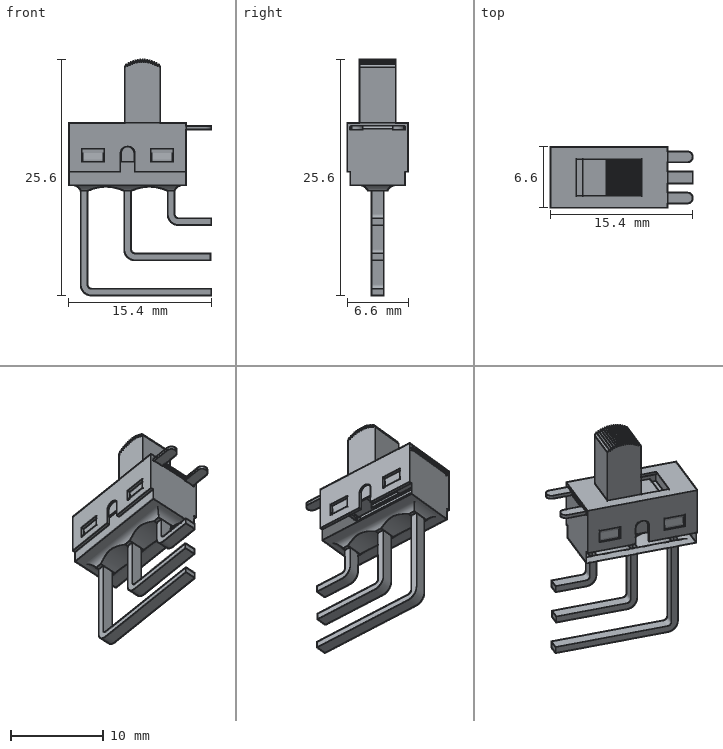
import cadquery as cq
import math


BODY_LENGTH = 12.7
COVER_WIDTH = 6.6
COVER_TOP = 6.75
COVER_BOTTOM = 1.45
SHEET = 0.33
BODY_WIDTH = COVER_WIDTH - 2 * SHEET
BODY_TOP = COVER_TOP - SHEET

EDGE_GAP_WIDTH = 0.18
EDGE_GAP_HEIGHT = 0.4
END_CHAMFER_HEIGHT = 0.3
END_CHAMFER_LENGTH = 0.18

OPENING_LENGTH = 7.1
OPENING_WIDTH = 3.96
POCKET_WIDTH = 4.12
OPENING_DEPTH = 0.8
END_PIT_LENGTH = 0.7
END_PIT_DEPTH = 0.38
SLIDER_LENGTH = 3.9
SLIDER_WIDTH = 3.95
SLIDER_TOP = 13.63
SHOULDER_DROP = 0.87
CROWN_RADIUS = 3.17
RIDGE_COUNT = 15
RIDGE_PITCH = 0.25
RIDGE_DEPTH = 0.3

WINDOW_LENGTH = 2.43
WINDOW_BOTTOM = 2.53
WINDOW_TOP = 3.96
WINDOW_OFFSET = 3.73
WEDGE_LENGTH = 2.23
WEDGE_TOP = 3.48
WEDGE_LIP = 2.8
WEDGE_REACH = 0.15

NOTCH_WIDTH = 1.55
NOTCH_TOP = 4.2
BOSS_WIDTH = 1.4
BOSS_REACH = 0.15

LEAD_PITCH = 4.7
LEAD_THICKNESS = 0.77
LEAD_WIDTH = 1.33
TOTAL_LENGTH = 15.4
LEAD_END = TOTAL_LENGTH - BODY_LENGTH / 2
MIDDLE_LEAD_SHORTFALL = 0.08
MIDDLE_LEAD_END = LEAD_END - MIDDLE_LEAD_SHORTFALL
TOTAL_HEIGHT = 25.58
LOWEST_LEAD = SLIDER_TOP - TOTAL_HEIGHT
LEAD_STEP = 3.8
BEND_OUTER_RADIUS = 1.2
TAB_WIDTH = 1.2
TAB_THICKNESS = 0.4
TAB_TOP = 6.42
TAB_OFFSET = 2.23
TAB_ROOT = 0.5

SEAL_DEPTH = 0.61
SEAL_LENGTH = 11.72
SEAL_WIDTH = 3.79
SEAL_TIP_WIDTH = 2.1
SEAL_SAG = 0.18
SEAL_FLARE = 0.1


def block(x_size, y_size, bottom, top, x=0, y=0):
    """Box centred on (x, y) between two heights."""
    plate = cq.Workplane("XY", origin=(x, y, bottom))
    return plate.rect(x_size, y_size).extrude(top - bottom)


def both_sides(solid):
    """The solid together with its mirror image across the XZ plane."""
    return solid.union(solid.mirror("XZ"))


def arch(width, bottom, top, y_front, y_back):
    """Round-topped upright plate between two Y positions."""
    radius = width / 2
    outline = (
        cq.Workplane("XZ", origin=(0, y_back, 0))
        .moveTo(-radius, bottom)
        .lineTo(-radius, top - radius)
        .threePointArc((0, top), (radius, top - radius))
        .lineTo(radius, bottom)
        .close()
    )
    return outline.extrude(y_back - y_front)


def make_housing():
    """Body with the cover, its latch windows, notches and clearances."""
    body = block(BODY_LENGTH, BODY_WIDTH, 0, COVER_TOP)
    cover = block(BODY_LENGTH, COVER_WIDTH, COVER_BOTTOM, COVER_TOP)
    housing = body.union(cover)
    cover_front = -COVER_WIDTH / 2
    body_front = -BODY_WIDTH / 2

    notch = arch(NOTCH_WIDTH, COVER_BOTTOM, NOTCH_TOP, cover_front, body_front)
    boss = arch(BOSS_WIDTH, WINDOW_BOTTOM, NOTCH_TOP, body_front - BOSS_REACH, body_front)
    housing = housing.cut(both_sides(notch)).union(both_sides(boss))

    for x in (-WINDOW_OFFSET, WINDOW_OFFSET):
        window = block(WINDOW_LENGTH, SHEET, WINDOW_BOTTOM, WINDOW_TOP, x, cover_front + SHEET / 2)
        wedge = (
            cq.Workplane("YZ", origin=(x, 0, 0))
            .moveTo(body_front, WEDGE_TOP)
            .lineTo(body_front - WEDGE_REACH, WEDGE_LIP)
            .lineTo(body_front - WEDGE_REACH, WINDOW_BOTTOM)
            .lineTo(body_front, WINDOW_BOTTOM)
            .close()
            .extrude(WEDGE_LENGTH / 2, both=True)
        )
        housing = housing.cut(both_sides(window)).union(both_sides(wedge))

    return housing.cut(edge_gaps()).cut(end_grooves())


def edge_gaps():
    """Lengthwise gaps under the two folds of the cover, rounded outside."""
    outside = -BODY_WIDTH / 2
    inside = outside + EDGE_GAP_WIDTH
    gap = (
        cq.Workplane("YZ")
        .moveTo(outside, BODY_TOP - EDGE_GAP_HEIGHT)
        .lineTo(outside, BODY_TOP - EDGE_GAP_WIDTH)
        .radiusArc((inside, BODY_TOP), EDGE_GAP_WIDTH)
        .lineTo(inside, BODY_TOP - EDGE_GAP_HEIGHT)
        .close()
        .extrude(BODY_LENGTH / 2, both=True)
    )
    return both_sides(gap)


def end_grooves():
    """Chamfered top edges of the body at both ends, below the cover."""
    end = BODY_LENGTH / 2
    groove = (
        cq.Workplane("XZ")
        .moveTo(-end, BODY_TOP)
        .lineTo(-end, BODY_TOP - END_CHAMFER_HEIGHT)
        .lineTo(-end + END_CHAMFER_LENGTH, BODY_TOP)
        .close()
        .extrude(BODY_WIDTH / 2 - EDGE_GAP_WIDTH, both=True)
    )
    return groove.union(groove.mirror("YZ"))


def make_opening():
    """Slider opening, wider below the sheet, with a deeper pit at its free end."""
    floor = COVER_TOP - OPENING_DEPTH
    opening = block(OPENING_LENGTH, OPENING_WIDTH, floor, COVER_TOP)
    pocket = block(OPENING_LENGTH, POCKET_WIDTH, floor, BODY_TOP)
    pit_x = (END_PIT_LENGTH - OPENING_LENGTH) / 2
    pit = block(END_PIT_LENGTH, POCKET_WIDTH, floor - END_PIT_DEPTH, floor, pit_x)
    return opening.union(pocket).union(pit)


def make_slider():
    """Slider at the +X end of the opening, with a ridged round crown."""
    half = SLIDER_LENGTH / 2
    middle = (OPENING_LENGTH - SLIDER_LENGTH) / 2
    crown_centre = SLIDER_TOP - CROWN_RADIUS
    shoulder = SLIDER_TOP - SHOULDER_DROP
    floor = COVER_TOP - OPENING_DEPTH

    def crown_height(offset):
        return crown_centre + math.sqrt(CROWN_RADIUS**2 - offset**2)

    outline = [(middle - half, floor), (middle - half, shoulder)]
    for ridge in range(RIDGE_COUNT):
        crest = (ridge - (RIDGE_COUNT - 1) / 2) * RIDGE_PITCH
        if ridge > 0:
            valley = crest - RIDGE_PITCH / 2
            outline.append((middle + valley, crown_height(valley) - RIDGE_DEPTH))
        outline.append((middle + crest, crown_height(crest)))
    outline += [(middle + half, shoulder), (middle + half, floor)]
    return cq.Workplane("XZ").polyline(outline).close().extrude(SLIDER_WIDTH / 2, both=True)


def make_lead(x, bottom, end):
    """Flat lead going down from the body and bending toward +X."""
    left = x - LEAD_THICKNESS / 2
    right = x + LEAD_THICKNESS / 2
    top = bottom + LEAD_THICKNESS
    inner_radius = BEND_OUTER_RADIUS - LEAD_THICKNESS
    return (
        cq.Workplane("XZ")
        .moveTo(left, 0)
        .lineTo(left, bottom + BEND_OUTER_RADIUS)
        .radiusArc((left + BEND_OUTER_RADIUS, bottom), -BEND_OUTER_RADIUS)
        .lineTo(end, bottom)
        .lineTo(end, top)
        .lineTo(right + inner_radius, top)
        .radiusArc((right, top + inner_radius), inner_radius)
        .lineTo(right, 0)
        .close()
        .extrude(LEAD_WIDTH / 2, both=True)
    )


def make_tabs():
    """Two round-ended mounting tabs at the +X end, just below the cover top."""
    root = BODY_LENGTH / 2 - TAB_ROOT
    bottom = TAB_TOP - TAB_THICKNESS
    radius = TAB_WIDTH / 2
    tab = (
        cq.Workplane("XY", origin=(0, -TAB_OFFSET, bottom))
        .moveTo(root, -radius)
        .lineTo(LEAD_END - radius, -radius)
        .threePointArc((LEAD_END, 0), (LEAD_END - radius, radius))
        .lineTo(root, radius)
        .close()
        .extrude(TAB_THICKNESS)
    )
    return both_sides(tab)


def make_seal():
    """Compound that runs down each lead in hollow curves."""
    half_lead = LEAD_THICKNESS / 2
    half_length = SEAL_LENGTH / 2
    half_width = SEAL_WIDTH / 2
    half_tip = SEAL_TIP_WIDTH / 2
    end_tip = LEAD_PITCH + half_lead

    def flare(tip, base):
        """Point on the hollow curve between the tip and the base."""
        return ((tip + base) / 2 - SEAL_FLARE, -SEAL_DEPTH / 2 + SEAL_FLARE)

    end_x, end_z = flare(end_tip, half_length)
    along = (
        cq.Workplane("XZ")
        .moveTo(-half_length, 0)
        .threePointArc((-end_x, end_z), (-end_tip, -SEAL_DEPTH))
    )
    for lead in (-1, 0):
        start = lead * LEAD_PITCH + half_lead
        stop = (lead + 1) * LEAD_PITCH - half_lead
        along = along.lineTo(start, -SEAL_DEPTH)
        along = along.threePointArc(((start + stop) / 2, -SEAL_SAG), (stop, -SEAL_DEPTH))
    along = (
        along.lineTo(end_tip, -SEAL_DEPTH)
        .threePointArc((end_x, end_z), (half_length, 0))
        .close()
        .extrude(half_width, both=True)
    )

    side_y, side_z = flare(half_tip, half_width)
    across = (
        cq.Workplane("YZ")
        .moveTo(-half_width, 0)
        .threePointArc((-side_y, side_z), (-half_tip, -SEAL_DEPTH))
        .lineTo(half_tip, -SEAL_DEPTH)
        .threePointArc((side_y, side_z), (half_width, 0))
        .close()
        .extrude(half_length, both=True)
    )
    return along.intersect(across)


result = make_housing().cut(make_opening()).union(make_slider())
result = result.union(make_tabs()).union(make_seal())
for row, lead_end in enumerate((LEAD_END, MIDDLE_LEAD_END, LEAD_END)):
    lead = make_lead((row - 1) * LEAD_PITCH, LOWEST_LEAD + row * LEAD_STEP, lead_end)
    result = result.union(lead)